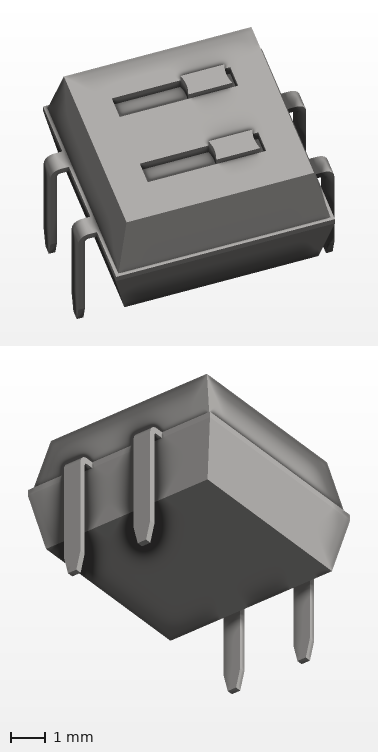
import cadquery as cq

flange_length_x = 6.64
flange_length_y = 6.69
flange_thickness = 0.195
base_height = 1.82
cover_height = 1.78
flange_ledge = 0.1
taper_inset = 0.375

pitch = 2.54
slot_width = 0.72
slot_length = 3.62
slot_depth = 0.305
slider_length = 1.345
slider_rise = 0.2
slider_gap = 0.18
slider_end_sagitta = 0.06

pin_span = 7.82
pin_width = 0.6
pin_thickness = 0.2
pin_bend_radius = 0.31
pin_drop = 1.995
pin_tip_width = 0.305
pin_tip_height = 0.61

flange_top = base_height + flange_thickness
case_top = flange_top + cover_height
column_positions = (-pitch / 2, pitch / 2)


def tapered_block(z_wide, inset, z_narrow):
    """Block from its wide rectangle, inset from the flange outline, to its narrow one."""
    wide_x = flange_length_x - 2 * inset
    wide_y = flange_length_y - 2 * inset
    return (
        cq.Workplane("XY", origin=(0, 0, z_wide))
        .rect(wide_x, wide_y)
        .workplane(offset=z_narrow - z_wide)
        .rect(wide_x - 2 * taper_inset, wide_y - 2 * taper_inset)
        .loft(ruled=True)
    )


def case_body():
    base = tapered_block(base_height, 0, 0)
    cover = tapered_block(flange_top, flange_ledge, case_top)
    flange = (
        cq.Workplane("XY", origin=(0, 0, base_height))
        .rect(flange_length_x, flange_length_y)
        .extrude(flange_thickness)
    )
    return base.union(flange).union(cover)


def slot(x):
    return (
        cq.Workplane("XY", origin=(x, 0, case_top - slot_depth))
        .rect(slot_width, slot_length)
        .extrude(slot_depth)
    )


def slider(x):
    """Knob at the +Y end of its slot, with both ends hollowed by a shallow arc."""
    back = slot_length / 2 - slider_gap
    front = back - slider_length
    half_width = slot_width / 2
    return (
        cq.Workplane("XY", origin=(x, 0, case_top - slot_depth))
        .moveTo(-half_width, front)
        .threePointArc((0, front + slider_end_sagitta), (half_width, front))
        .lineTo(half_width, back)
        .threePointArc((0, back - slider_end_sagitta), (-half_width, back))
        .close()
        .extrude(slot_depth + slider_rise)
    )


def pin_pair(x):
    """Two opposed pins: one bent strip through the case, trimmed to pointed legs."""
    leg_height = flange_top + pin_drop
    leg_center_z = flange_top - leg_height / 2
    outer = (
        cq.Workplane("XY")
        .box(pin_width, pin_span, leg_height)
        .edges("|X and >Z")
        .fillet(pin_bend_radius)
    )
    inner = (
        cq.Workplane("XY", origin=(0, 0, -pin_thickness))
        .box(pin_width, pin_span - 2 * pin_thickness, leg_height)
        .edges("|X and >Z")
        .fillet(pin_bend_radius - pin_thickness)
    )
    strip = outer.cut(inner).translate((x, 0, leg_center_z))

    half_width = pin_width / 2
    half_tip = pin_tip_width / 2
    shoulder_z = pin_tip_height - pin_drop
    face_outline = (
        cq.Workplane("XZ", origin=(x, 0, 0))
        .polyline([
            (-half_width, flange_top),
            (-half_width, shoulder_z),
            (-half_tip, -pin_drop),
            (half_tip, -pin_drop),
            (half_width, shoulder_z),
            (half_width, flange_top),
        ])
        .close()
        .extrude(pin_span / 2, both=True)
    )
    return strip.intersect(face_outline)


result = case_body()
for column_x in column_positions:
    result = result.cut(slot(column_x))
    result = result.union(slider(column_x))
    result = result.union(pin_pair(column_x))